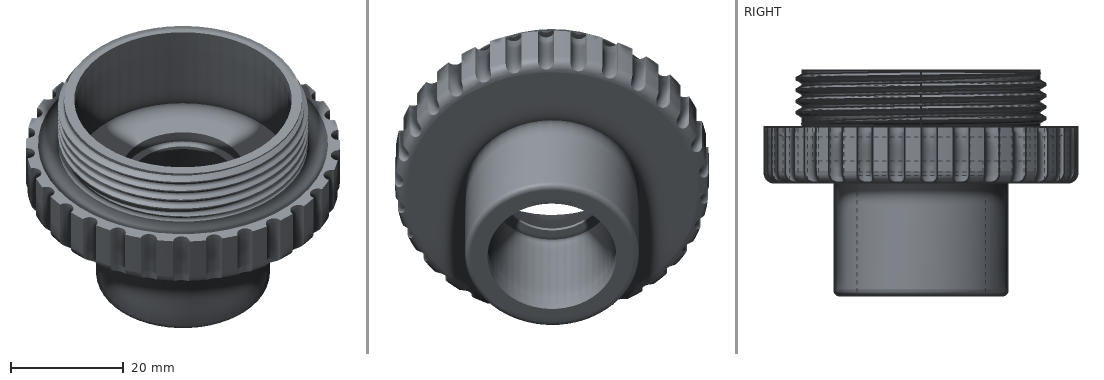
import cadquery as cq
import math

spigot_length = 20.0
collar_height = 10.0
neck_height = 10.05
collar_top = spigot_length + collar_height
total_height = collar_top + neck_height

spigot_diameter = 30.9
spigot_edge_fillet = 1.0

collar_diameter = 55.75
collar_edge_fillet = 2.0
flute_count = 30
flute_radius = 1.45
flute_pitch_angle = 360 / flute_count
first_flute_angle = flute_pitch_angle / 4

groove_outer_radius = 25.75
groove_radius = 1.8
groove_center_radius = groove_outer_radius - groove_radius

neck_diameter = 42.25
cup_diameter = 38.6
cup_depth = 16.05
seat_diameter = 21.9
seat_depth = 2.0
aperture_diameter = 18.95
lip_thickness = 0.6
spigot_bore_diameter = 22.9
spigot_bore_depth = total_height - cup_depth - seat_depth - lip_thickness

thread_pitch = 2.0
turn_count = 4
thread_height = thread_pitch * math.sqrt(3) / 2 * 5 / 8
crest_width = thread_pitch / 8
root_width = thread_pitch * 3 / 4
thread_root_radius = neck_diameter / 2
first_turn_offset = 1.0
first_turn_z = collar_top + first_turn_offset
runout_turns = 0.25
runout_tip_size = 0.02
curve_points_per_turn = 120


def make_blank():
    """Solid turned shape: spigot, collar and neck, with their lower edges rounded."""
    spigot = (
        cq.Workplane("XY")
        .circle(spigot_diameter / 2)
        .extrude(spigot_length)
        .faces("<Z").edges()
        .fillet(spigot_edge_fillet)
    )
    collar = (
        cq.Workplane("XY", origin=(0, 0, spigot_length))
        .circle(collar_diameter / 2)
        .extrude(collar_height)
        .faces("<Z").edges()
        .fillet(collar_edge_fillet)
    )
    neck = cq.Workplane("XY", origin=(0, 0, collar_top)).circle(neck_diameter / 2).extrude(neck_height)
    return spigot.union(collar).union(neck)


def make_stepped_bore():
    """Cup, seat, aperture and spigot bore as one cutting shape."""
    aperture = cq.Workplane("XY").circle(aperture_diameter / 2).extrude(total_height)
    spigot_bore = cq.Workplane("XY").circle(spigot_bore_diameter / 2).extrude(spigot_bore_depth)
    from_top = cq.Workplane("XY", origin=(0, 0, total_height))
    cup = from_top.circle(cup_diameter / 2).extrude(-cup_depth)
    seat = from_top.circle(seat_diameter / 2).extrude(-(cup_depth + seat_depth))
    return aperture.union(spigot_bore).union(seat).union(cup)


def make_ring_groove():
    """Torus whose lower half forms the groove."""
    return cq.Workplane(cq.Solid.makeTorus(groove_center_radius, groove_radius, cq.Vector(0, 0, collar_top)))


def make_flutes():
    """Upright round cutters centred on the rim of the collar."""
    return (
        cq.Workplane("XY", origin=(0, 0, spigot_length))
        .polarArray(collar_diameter / 2, first_flute_angle, 360, flute_count)
        .circle(flute_radius)
        .extrude(collar_height)
    )


def make_housing():
    return make_blank().cut(make_stepped_bore()).cut(make_ring_groove()).cut(make_flutes())


def thread_curve(radial_offset, axial_offset, first_turn, last_turn, size_at):
    """Helical edge of one profile corner; turns are counted from the start of the first full turn."""

    def point(t):
        turn = first_turn + t * (last_turn - first_turn)
        size = size_at(t)
        radius = thread_root_radius + size * radial_offset
        angle = 2 * math.pi * turn
        z = first_turn_z + turn * thread_pitch + size * axial_offset
        return (radius * math.cos(angle), radius * math.sin(angle), z)

    point_count = math.ceil(curve_points_per_turn * (last_turn - first_turn))
    return cq.Workplane("XY").parametricCurve(point, N=point_count).val()


def make_thread_piece(first_turn, last_turn, size_at):
    """One solid stretch of thread whose profile is scaled by size_at(t), t running from 0 to 1."""
    corners = [
        (0, -root_width / 2),
        (thread_height, -crest_width / 2),
        (thread_height, crest_width / 2),
        (0, root_width / 2),
    ]
    edges = [
        thread_curve(radial, axial, first_turn, last_turn, size_at).Edges()[0]
        for radial, axial in corners
    ]
    sides = [
        cq.Face.makeRuledSurface(edge, edges[(index + 1) % len(edges)])
        for index, edge in enumerate(edges)
    ]
    ends = [
        cq.Face.makeFromWires(cq.Wire.makePolygon([edge.positionAt(end) for edge in edges], close=True))
        for end in (0, 1)
    ]
    return cq.Solid.makeSolid(cq.Shell.makeShell(sides + ends))


def full_size(t):
    return 1.0


def growing_size(t):
    return runout_tip_size + (1 - runout_tip_size) * t


def shrinking_size(t):
    return growing_size(1 - t)


housing = make_housing()
thread_turns = [make_thread_piece(turn, turn + 1, full_size) for turn in range(turn_count)]
lower_runout = make_thread_piece(-runout_turns, 0, growing_size)
upper_runout = make_thread_piece(turn_count, turn_count + runout_turns, shrinking_size)

result = cq.Compound.makeCompound([housing.val(), lower_runout, *thread_turns, upper_runout])